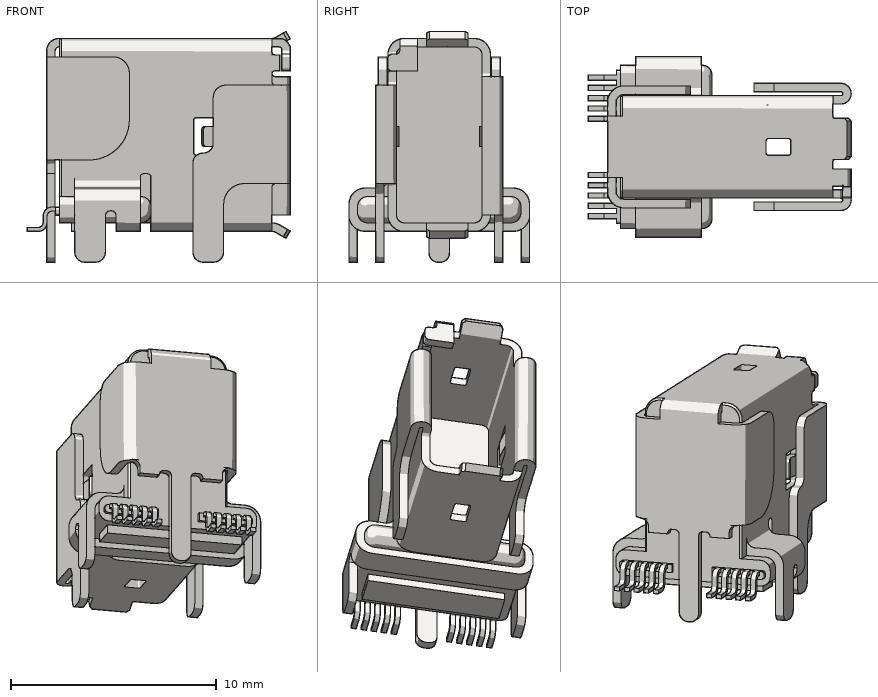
import cadquery as cq
import math


SHEET = 0.42
LEG_TIP = -1.5
LEG_WIDTH = 1.5
LEG_RADIUS = 0.5

SHELL_HALF_Y = 2.5
SHELL_TOP = 9.4
SHELL_RADIUS = 0.8
SHELL_REAR = 0.62
SHELL_FRONT = 10.97
REAR_CHAMFER = 0.1
SHELL_FLOOR_REAR = 5.07
WALL_INNER_Y = SHELL_HALF_Y - SHEET

TOP_WINDOW = (7.72, 8.91)
TOP_WINDOW_HALF_Y = 0.4
SIDE_WINDOW_X = (7.17, 9.0)
SIDE_WINDOW_Z = (3.72, 5.53)
WINDOW_RADIUS = 0.1
TONGUE_TIP_X = (7.55, 7.64)
TONGUE_BEND_X = 8.2
TONGUE_DIP = 0.12
TONGUE_Z = (4.13, 5.11)
TONGUE_RADIUS = 0.15

WING_HALF_Y = 4.4
HOUSING_HALF_Y = WING_HALF_Y - SHEET
HOUSING_FRONT = 5.09
HOUSING_TOP = 1.7
HOUSING_RADIUS = 0.5
RIDGE_REAR = 0.43
RIDGE_Y = (1.03, 3.73)
RIDGE_Z = (0.79, 1.19)
RIDGE_RADIUS = 0.16
PAD_X = (1.21, 2.6)
PAD_HALF_Y = 3.4

WING_TOP = HOUSING_TOP + SHEET
WING_X = (1.37, 4.56)
WING_RADIUS = 0.8
WING_ROOT_RADIUS = 0.45
STRAP_REAR = 3.38
WING_LOWER_EDGE = 0.8
LEG_NOTCH_TOP = 1.01
LEG_NOTCH_RADIUS = 0.23
SIDE_SLOT_TOP = 2.81
SLOT_RADIUS = 0.15

COVER_HALF_Y = 2.97
COVER_TOP = 8.5
COVER_BEND = 0.8
FLAP_BOTTOM = 3.48
FLAP_FRONT = 4.03
FLAP_TOP_RADIUS = 0.8
FLAP_BOTTOM_RADIUS = 1.95
HINGE_HALF_Y = 1.5
HINGE_RADIUS = 0.62
COVER_LOWER_HALF_Y = 2.08
COVER_LOWER_EDGE = 2.81
COVER_RELIEF_RADIUS = 0.38
REAR_LEG_HALF_Y = 0.5
REAR_LEG_RADIUS = 0.45
REAR_LEG_NOTCH = 0.6
REAR_LEG_NOTCH_TOP = 3.05
REAR_LEG_NOTCH_RADIUS = 0.23

FOLD_OUTER_Y = 3.1
FOLD_FRONT = 11.86
FOLD_RADIUS = (FOLD_OUTER_Y - WALL_INNER_Y) / 2
FOLD_CENTRE_X = FOLD_FRONT - FOLD_RADIUS
FRONT_LEG_REAR = 7.12
PANEL_REAR = 8.11
PANEL_TOP_RADIUS = 0.6
STEP_Z = 3.82
STEP_RADIUS = 0.49
NEAR_FOLD_Z = (2.33, 7.12)
FAR_FOLD_Z = (0.8, 7.54)
PANEL_LEG_RADIUS = 1.0
FAR_PANEL_LEG_RADIUS = 0.7
FOLD_RELIEF_RADIUS = 0.18

WALL_TAB_Z = (7.81, 8.6)
TAB_RELIEF_RADIUS = 0.14
WALL_TAB_FRONT = FOLD_CENTRE_X
HOOK_Y = (-1.92, -1.07)
HOOK_FOOT_Y = -2.5
HOOK_RADIUS = 0.55
HOOK_BOTTOM = WALL_TAB_Z[0]
HOOK_FOOT_TOP = 8.63
HOOK_INNER_FILLET = 0.2
HOOK_CORNER = 0.2
FLARE_Y = (-0.62, 1.4)
FLARE_RADIUS = 0.36
FLARE_RELIEF_RADIUS = 0.1
FLARE_ANGLE = math.radians(30)
FLARE_CORNER = 0.15

TERMINALS_PER_ROW = 5
TERMINAL_PITCH = 0.5
TERMINAL_FIRST_Y = 1.37
TERMINAL_WIDTH = 0.26
TERMINAL_THICK = 0.2
TERMINAL_TIP = -0.94
TERMINAL_RISER_X = -0.17
TERMINAL_BEND = 0.24


def box(x_range, y_range, z_range):
    """Block between the given limits."""
    size = [high - low for low, high in (x_range, y_range, z_range)]
    corner = (x_range[0], y_range[0], z_range[0])
    return cq.Workplane("XY").box(*size, centered=False).translate(corner)


def rounded_bar(x_range, half_y, z_range, radius):
    """Bar along X, symmetric about Y = 0, with rounded long edges."""
    return box(x_range, (-half_y, half_y), z_range).edges("|X").fillet(radius)


def both_sides(solid):
    """The solid together with its mirror image in Y = 0."""
    return solid.union(solid.mirror("XZ"))


def plate_xz(points, y_low, y_high):
    """Flat plate with an XZ outline between two Y levels."""
    outline = cq.Workplane("XZ", origin=(0, y_high, 0)).polyline(points).close()
    return outline.extrude(y_high - y_low)


def plate_yz(points, x_low, x_high):
    """Flat plate with a YZ outline between two X levels."""
    outline = cq.Workplane("YZ", origin=(x_low, 0, 0)).polyline(points).close()
    return outline.extrude(x_high - x_low)


def round_edge(solid, axis, point, radius):
    """Fillet the edge parallel to an axis that lies nearest to a point."""
    nearest = cq.selectors.NearestToPointSelector(point)
    return solid.edges("|" + axis).edges(nearest).fillet(radius)


def inside_corner(x, z, radius, z_side, y_range):
    """Rounded XZ fillet in the corner at (x, z), toward +X and up or down."""
    z_end = z + z_side * radius
    block = box((x, x + radius), y_range, (min(z, z_end), max(z, z_end)))
    hollow = cq.Workplane("XZ", origin=(x + radius, y_range[1], z_end)).circle(radius)
    return block.cut(hollow.extrude(y_range[1] - y_range[0]))


def make_shell():
    """Rounded tube, cut away at the rear bottom, with its windows."""
    x_range = (SHELL_REAR, SHELL_FRONT)
    tube = rounded_bar(x_range, SHELL_HALF_Y, (0, SHELL_TOP), SHELL_RADIUS)
    tube = tube.faces("<X").chamfer(REAR_CHAMFER)
    cavity = rounded_bar(x_range, WALL_INNER_Y, (SHEET, SHELL_TOP - SHEET), SHELL_RADIUS - SHEET)
    tube = tube.cut(cavity)

    across = (-SHELL_HALF_Y, SHELL_HALF_Y)
    tube = tube.cut(box((SHELL_REAR, SHELL_FLOOR_REAR), across, (0, HOUSING_TOP)))
    slot = box((WING_X[1], SHELL_FLOOR_REAR), across, (0, SIDE_SLOT_TOP))
    tube = tube.cut(slot.edges("|Y and >Z").fillet(SLOT_RADIUS))

    top_window = box(TOP_WINDOW, (-TOP_WINDOW_HALF_Y, TOP_WINDOW_HALF_Y), (0, SHELL_TOP))
    tube = tube.cut(top_window.edges("|Z").fillet(WINDOW_RADIUS))
    side_window = box(SIDE_WINDOW_X, across, SIDE_WINDOW_Z)
    tube = tube.cut(side_window.edges("|Y").fillet(WINDOW_RADIUS))

    return tube.union(both_sides(make_tongue()))


def make_tongue():
    """Spring tongue in the side window, dipping inward at its bend (+Y side)."""
    root_x = SIDE_WINDOW_X[1]
    outline = [
        (TONGUE_TIP_X[1], SHELL_HALF_Y),
        (TONGUE_BEND_X, SHELL_HALF_Y - TONGUE_DIP),
        (root_x, SHELL_HALF_Y),
        (root_x, WALL_INNER_Y),
        (TONGUE_BEND_X, WALL_INNER_Y - TONGUE_DIP),
        (TONGUE_TIP_X[0], WALL_INNER_Y),
    ]
    blank = cq.Workplane("XY", origin=(0, 0, TONGUE_Z[0])).polyline(outline).close()
    blank = blank.extrude(TONGUE_Z[1] - TONGUE_Z[0])
    tip_x = sum(TONGUE_TIP_X) / 2
    tip_y = (WALL_INNER_Y + SHELL_HALF_Y) / 2
    for z in TONGUE_Z:
        corner = cq.selectors.NearestToPointSelector((tip_x, tip_y, z))
        blank = blank.edges(corner).fillet(TONGUE_RADIUS)
    return blank


def make_housing():
    """Plastic core that fills the rear of the shell, with a wide foot."""
    x_range = (SHELL_REAR, HOUSING_FRONT)
    core_z = (SHEET, SHELL_TOP - SHEET)
    core = rounded_bar(x_range, WALL_INNER_Y, core_z, SHELL_RADIUS - SHEET)
    foot = rounded_bar(x_range, HOUSING_HALF_Y, (SHEET, HOUSING_TOP), HOUSING_RADIUS)
    foot = foot.faces(">X").edges().fillet(HOUSING_RADIUS)
    ridge = box((RIDGE_REAR, SHELL_REAR), RIDGE_Y, RIDGE_Z)
    ridge = ridge.edges("|X and >Y").fillet(RIDGE_RADIUS)
    pad = box(PAD_X, (-PAD_HALF_Y, PAD_HALF_Y), (0, SHEET))
    return core.union(foot).union(both_sides(ridge)).union(pad)


def make_wings():
    """Sheet bent out of the shell, over the housing foot and down to legs."""
    across = (-WING_HALF_Y, WING_HALF_Y)
    wrap = rounded_bar(WING_X, WING_HALF_Y, (0, WING_TOP), WING_RADIUS)
    wrap = wrap.cut(rounded_bar(WING_X, HOUSING_HALF_Y, (SHEET, HOUSING_TOP), HOUSING_RADIUS))
    wrap = wrap.cut(box((WING_X[0], STRAP_REAR), across, (0, WING_LOWER_EDGE)))
    leg_front = WING_X[0] + LEG_WIDTH
    notch = box((leg_front, STRAP_REAR), across, (0, LEG_NOTCH_TOP))
    wrap = wrap.cut(notch.edges("|Y and >Z").fillet(LEG_NOTCH_RADIUS))

    leg_z = (LEG_TIP, WING_TOP - WING_RADIUS)
    leg = box((WING_X[0], leg_front), (HOUSING_HALF_Y, WING_HALF_Y), leg_z)
    leg = leg.edges("|Y and <Z").fillet(LEG_RADIUS)

    root_y = (WALL_INNER_Y, SHELL_HALF_Y + WING_ROOT_RADIUS)
    root_top = WING_TOP + WING_ROOT_RADIUS
    root = box(WING_X, root_y, (HOUSING_TOP, root_top))
    root_hollow = (
        cq.Workplane("YZ", origin=(WING_X[0], root_y[1], root_top))
        .circle(WING_ROOT_RADIUS)
        .extrude(WING_X[1] - WING_X[0])
    )
    return wrap.union(both_sides(leg.union(root.cut(root_hollow))))


def make_rear_cover():
    """Cover hinged on the shell roof, with side flaps and a middle leg."""
    cup_x = (0, FLAP_FRONT)
    cup_z = (FLAP_BOTTOM, COVER_TOP)
    cup = box(cup_x, (-COVER_HALF_Y, COVER_HALF_Y), cup_z).edges("|Z and <X").fillet(COVER_BEND)
    inner_y = COVER_HALF_Y - SHEET
    inner = box((SHEET, FLAP_FRONT), (-inner_y, inner_y), cup_z)
    cup = cup.cut(inner.edges("|Z and <X").fillet(COVER_BEND - SHEET))
    cup = cup.edges("|Y and >X and >Z").fillet(FLAP_TOP_RADIUS)
    cup = cup.edges("|Y and >X and <Z").fillet(FLAP_BOTTOM_RADIUS)

    relief_y = COVER_LOWER_HALF_Y + COVER_RELIEF_RADIUS
    relief_z = FLAP_BOTTOM - COVER_RELIEF_RADIUS
    notch_y = REAR_LEG_HALF_Y + REAR_LEG_NOTCH
    apron = box((0, SHEET), (-COVER_LOWER_HALF_Y, COVER_LOWER_HALF_Y), (COVER_LOWER_EDGE, COVER_TOP))
    notch = box((0, SHEET), (REAR_LEG_HALF_Y, notch_y), (COVER_LOWER_EDGE, REAR_LEG_NOTCH_TOP))
    notch = notch.edges("|X and >Z").fillet(REAR_LEG_NOTCH_RADIUS)
    relief = box((0, SHEET), (COVER_LOWER_HALF_Y, relief_y), (relief_z, FLAP_BOTTOM))
    relief_hollow = (
        cq.Workplane("YZ", origin=(0, relief_y, relief_z)).circle(COVER_RELIEF_RADIUS).extrude(SHEET)
    )
    apron = apron.cut(both_sides(notch)).union(both_sides(relief.cut(relief_hollow)))

    leg = box((0, SHEET), (-REAR_LEG_HALF_Y, REAR_LEG_HALF_Y), (LEG_TIP, COVER_TOP))
    leg = leg.edges("|X and <Z").fillet(REAR_LEG_RADIUS)

    hinge_x = (0, SHELL_REAR + SHEET)
    hinge_y = (-HINGE_HALF_Y, HINGE_HALF_Y)
    hinge = box(hinge_x, hinge_y, (COVER_TOP - SHEET, SHELL_TOP))
    hinge = hinge.edges("|Y and <X and >Z").fillet(HINGE_RADIUS)
    hollow = box((SHEET, hinge_x[1]), hinge_y, (COVER_TOP - SHEET, SHELL_TOP - SHEET))
    hinge = hinge.cut(hollow.edges("|Y and <X and >Z").fillet(HINGE_RADIUS - SHEET))
    return cup.union(apron).union(leg).union(hinge)


def make_front_leg(fold_z, leg_radius):
    """Side wall folded back on itself at the opening, ending in a leg (+Y side)."""
    fold_bottom, fold_top = fold_z
    height = fold_top - fold_bottom
    centre_y = FOLD_OUTER_Y - FOLD_RADIUS
    bend = (
        cq.Workplane("XY", origin=(FOLD_CENTRE_X, centre_y, fold_bottom))
        .circle(FOLD_RADIUS)
        .circle(FOLD_RADIUS - SHEET)
        .extrude(height)
    )
    bend = bend.intersect(box((FOLD_CENTRE_X, FOLD_FRONT), (WALL_INNER_Y, FOLD_OUTER_Y), fold_z))
    wall = box((SHELL_FRONT - SHEET, FOLD_CENTRE_X), (WALL_INNER_Y, SHELL_HALF_Y), fold_z)

    leg_front = FRONT_LEG_REAR + LEG_WIDTH
    panel_y = FOLD_OUTER_Y - SHEET
    outline = [
        (FOLD_CENTRE_X, fold_top),
        (PANEL_REAR, fold_top),
        (PANEL_REAR, STEP_Z),
        (FRONT_LEG_REAR, STEP_Z),
        (FRONT_LEG_REAR, LEG_TIP),
        (leg_front, LEG_TIP),
        (leg_front, fold_bottom),
        (FOLD_CENTRE_X, fold_bottom),
    ]
    corner_radii = [PANEL_TOP_RADIUS, STEP_RADIUS, STEP_RADIUS, LEG_RADIUS, LEG_RADIUS, leg_radius]
    panel = plate_xz(outline, panel_y, FOLD_OUTER_Y)
    for (x, z), radius in zip(outline[1:-1], corner_radii):
        panel = round_edge(panel, "Y", (x, FOLD_OUTER_Y - SHEET / 2, z), radius)
    wall_y = (WALL_INNER_Y, SHELL_HALF_Y)
    upper_relief = inside_corner(SHELL_FRONT, fold_top, FOLD_RELIEF_RADIUS, 1, wall_y)
    leg = panel.union(bend).union(wall).union(upper_relief)
    if fold_bottom > SHELL_RADIUS:
        lower_relief = inside_corner(SHELL_FRONT, fold_bottom, FOLD_RELIEF_RADIUS, -1, wall_y)
        leg = leg.union(lower_relief)
    return leg


def make_wall_tab():
    """Short extension of the -Y wall beside the hook."""
    x_range = (SHELL_FRONT - SHEET, WALL_TAB_FRONT)
    wall_y = (-SHELL_HALF_Y, -WALL_INNER_Y)
    tab = box(x_range, wall_y, WALL_TAB_Z)
    for z, z_side in zip(WALL_TAB_Z, (-1, 1)):
        tab = tab.union(inside_corner(SHELL_FRONT, z, TAB_RELIEF_RADIUS, z_side, wall_y))
    return tab


def make_hook():
    """Roof strip bent down over the opening, with a foot toward -Y."""
    x_range = (SHELL_FRONT - SHEET, FOLD_FRONT)
    z_range = (HOOK_BOTTOM, SHELL_TOP)
    inner_face = FOLD_FRONT - SHEET
    strip = box(x_range, HOOK_Y, z_range).edges("|Y and >X and >Z").fillet(HOOK_RADIUS)
    hollow = box((x_range[0], inner_face), HOOK_Y, (HOOK_BOTTOM, SHELL_TOP - SHEET))
    strip = strip.cut(hollow.edges("|Y and >X and >Z").fillet(HOOK_RADIUS - SHEET))

    foot_top_end = HOOK_FOOT_TOP + 2 * HOOK_INNER_FILLET
    outline = [
        (HOOK_Y[1], HOOK_BOTTOM),
        (HOOK_Y[1], foot_top_end),
        (HOOK_Y[0], foot_top_end),
        (HOOK_Y[0], HOOK_FOOT_TOP),
        (HOOK_FOOT_Y, HOOK_FOOT_TOP),
        (HOOK_FOOT_Y, HOOK_BOTTOM),
    ]
    foot = plate_yz(outline, inner_face, FOLD_FRONT)
    middle_x = FOLD_FRONT - SHEET / 2
    foot = round_edge(foot, "X", (middle_x, HOOK_Y[0], HOOK_FOOT_TOP), HOOK_INNER_FILLET)
    foot = round_edge(foot, "X", (middle_x, HOOK_FOOT_Y, HOOK_BOTTOM), HOOK_CORNER)
    foot = round_edge(foot, "X", (middle_x, HOOK_FOOT_Y, HOOK_FOOT_TOP), HOOK_CORNER)
    section = rounded_bar(x_range, SHELL_HALF_Y, (0, SHELL_TOP), SHELL_RADIUS)
    return strip.union(foot).intersect(section)


def make_flare():
    """Roof lip bent outward at the opening to guide the plug."""
    cos_a = math.cos(FLARE_ANGLE)
    sin_a = math.sin(FLARE_ANGLE)
    inner_z = SHELL_TOP - SHEET
    bend_z = SHELL_TOP + FLARE_RADIUS
    inner_radius = FLARE_RADIUS + SHEET
    bend_end_x = SHELL_FRONT + inner_radius * sin_a
    inner_end_z = bend_z - inner_radius * cos_a + (FOLD_FRONT - bend_end_x) * math.tan(FLARE_ANGLE)
    cos_half = math.cos(FLARE_ANGLE / 2)
    sin_half = math.sin(FLARE_ANGLE / 2)

    def bend_point(radius, cosine, sine):
        """XZ point on a bend arc that starts level at the end of the roof."""
        return (SHELL_FRONT + radius * sine, bend_z - radius * cosine)

    root_x = SHELL_FRONT - SHEET
    outline = (
        cq.Workplane("XZ", origin=(0, FLARE_Y[1], 0))
        .moveTo(root_x, inner_z)
        .lineTo(SHELL_FRONT, inner_z)
        .threePointArc(
            bend_point(inner_radius, cos_half, sin_half),
            bend_point(inner_radius, cos_a, sin_a),
        )
        .lineTo(FOLD_FRONT, inner_end_z)
        .lineTo(FOLD_FRONT - SHEET * sin_a, inner_end_z + SHEET * cos_a)
        .lineTo(*bend_point(FLARE_RADIUS, cos_a, sin_a))
        .threePointArc(
            bend_point(FLARE_RADIUS, cos_half, sin_half),
            (SHELL_FRONT, SHELL_TOP),
        )
        .lineTo(root_x, SHELL_TOP)
        .close()
    )
    lip = outline.extrude(FLARE_Y[1] - FLARE_Y[0])
    end_x = FOLD_FRONT - SHEET * sin_a / 2
    end_z = inner_end_z + SHEET * cos_a / 2
    for y in FLARE_Y:
        corner = cq.selectors.NearestToPointSelector((end_x, y, end_z))
        lip = lip.edges(corner).chamfer(FLARE_CORNER)
    for y, y_side in zip(FLARE_Y, (-1, 1)):
        y_end = y + y_side * FLARE_RELIEF_RADIUS
        x_end = SHELL_FRONT + FLARE_RELIEF_RADIUS
        y_range = (min(y, y_end), max(y, y_end))
        relief = box((SHELL_FRONT, x_end), y_range, (inner_z, SHELL_TOP))
        hollow = cq.Workplane("XY", origin=(x_end, y_end, inner_z)).circle(FLARE_RELIEF_RADIUS)
        lip = lip.union(relief.cut(hollow.extrude(SHEET)))
    return lip


def make_terminals():
    """Two rows of S-shaped surface-mount terminals."""
    inside = TERMINAL_BEND
    outside = TERMINAL_BEND + TERMINAL_THICK
    top = RIDGE_Z[1]
    riser_rear = TERMINAL_RISER_X
    riser_front = riser_rear + TERMINAL_THICK
    diagonal = math.sqrt(0.5)
    low_x = riser_rear - inside
    low_z = TERMINAL_THICK + inside
    high_x = riser_front + inside
    high_z = top - outside
    outline = (
        cq.Workplane("XZ")
        .moveTo(TERMINAL_TIP, 0)
        .lineTo(low_x, 0)
        .threePointArc((low_x + outside * diagonal, low_z - outside * diagonal), (riser_front, low_z))
        .lineTo(riser_front, high_z)
        .threePointArc((high_x - inside * diagonal, high_z + inside * diagonal), (high_x, high_z + inside))
        .lineTo(SHELL_REAR, high_z + inside)
        .lineTo(SHELL_REAR, top)
        .lineTo(high_x, top)
        .threePointArc((high_x - outside * diagonal, high_z + outside * diagonal), (riser_rear, high_z))
        .lineTo(riser_rear, low_z)
        .threePointArc((low_x + inside * diagonal, low_z - inside * diagonal), (low_x, TERMINAL_THICK))
        .lineTo(TERMINAL_TIP, TERMINAL_THICK)
        .close()
    )
    terminal = outline.extrude(TERMINAL_WIDTH / 2, both=True)
    row = cq.Workplane("XY")
    for index in range(TERMINALS_PER_ROW):
        row = row.union(terminal.translate((0, TERMINAL_FIRST_Y + index * TERMINAL_PITCH, 0)))
    return both_sides(row)


upper_flare = make_flare()
lower_flare = upper_flare.mirror("XY").translate((0, 0, SHELL_TOP))

result = make_shell()
for piece in (
    make_housing(),
    make_wings(),
    make_rear_cover(),
    make_front_leg(FAR_FOLD_Z, FAR_PANEL_LEG_RADIUS),
    make_front_leg(NEAR_FOLD_Z, PANEL_LEG_RADIUS).mirror("XZ"),
    make_wall_tab(),
    make_hook(),
    upper_flare,
    lower_flare,
    make_terminals(),
):
    result = result.union(piece)